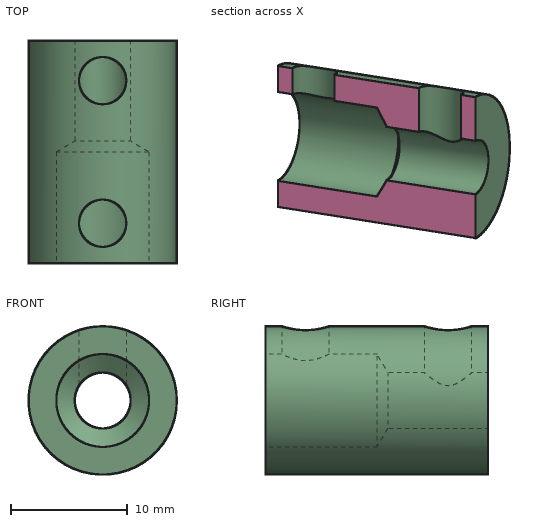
import cadquery as cq
import math

outer_diameter = 12.7
length = 19.05

large_bore_diameter = 7.94
small_bore_diameter = 4.76
large_bore_depth = length / 2
drill_point_angle = 118.0

screw_hole_diameter = 4.04
screw_hole_end_offset = 3.43

front_y = -length / 2


def make_bore():
    """Large bore from the -Y face, closed by a drill-point cone, then a small through bore."""
    large_radius = large_bore_diameter / 2
    small_radius = small_bore_diameter / 2
    cone_start_y = front_y + large_bore_depth
    cone_half_angle = math.radians(drill_point_angle / 2)
    cone_length = (large_radius - small_radius) / math.tan(cone_half_angle)
    half_profile = [
        (front_y, 0),
        (front_y, large_radius),
        (cone_start_y, large_radius),
        (cone_start_y + cone_length, small_radius),
        (length / 2, small_radius),
        (length / 2, 0),
    ]
    return cq.Workplane("YZ").polyline(half_profile).close().revolve(360, (0, 0, 0), (1, 0, 0))


def make_screw_hole(y):
    """Radial hole from the bore axis out through the top of the wall."""
    return cq.Workplane("XY").center(0, y).circle(screw_hole_diameter / 2).extrude(outer_diameter / 2)


body = cq.Workplane("XZ").circle(outer_diameter / 2).extrude(length / 2, both=True)
result = body.cut(make_bore())

screw_hole_y = length / 2 - screw_hole_end_offset
for y in (-screw_hole_y, screw_hole_y):
    result = result.cut(make_screw_hole(y))